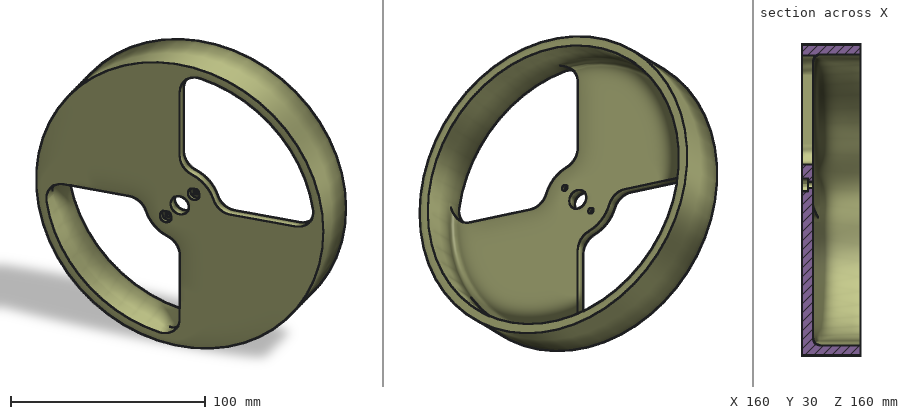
import cadquery as cq
import math

outer_radius = 80.0
rim_thickness = 5.0
inner_radius = outer_radius - rim_thickness
width = 30.0
web_thickness = 5.8
web_fillet = 4.0

hub_radius = 20.0
corner_radius = 10.0

axle_diameter = 10.0
screw_diameter = 3.0
counterbore_diameter = 6.4
counterbore_depth = 3.0
screw_circle_radius = 11.0

overcut = 1.6


def web_plane():
    """Front face of the web: local x is X, local y is Z, and the normal points to -Y."""
    return cq.Workplane("XZ")


def polar(radius, angle):
    return (radius * math.cos(angle), radius * math.sin(angle))


def make_web():
    """Disc whose back carries the concave fillet that leads into the rim."""
    fillet_top = web_thickness + web_fillet
    blank = web_plane().circle(outer_radius).extrude(-fillet_top)
    dish = web_plane().workplane(offset=-web_thickness).circle(inner_radius).extrude(-width)
    return blank.cut(dish.faces("<Y").edges().fillet(web_fillet))


def make_rim():
    rim_start = web_thickness + web_fillet
    ring = web_plane().workplane(offset=-rim_start).circle(outer_radius).circle(inner_radius)
    return ring.extrude(rim_start - width)


def make_window():
    """Quarter ring between hub and rim with rounds tangent to both circles and both spokes."""
    r = corner_radius
    middle = math.radians(45)

    rim_centre = math.sqrt((inner_radius - r) ** 2 - r**2)
    rim_angle = math.asin(r / (inner_radius - r))
    hub_centre = math.sqrt((hub_radius + r) ** 2 - r**2)
    hub_angle = math.asin(r / (hub_radius + r))

    rim_bend = (rim_angle - math.pi / 2) / 2
    hub_bend = (hub_angle + math.pi + 3 * math.pi / 2) / 2
    rim_dx, rim_dy = polar(r, rim_bend)
    hub_dx, hub_dy = polar(r, hub_bend)
    rim_round_middle = (rim_centre + rim_dx, r + rim_dy)
    hub_round_middle = (hub_centre + hub_dx, r + hub_dy)
    rim_tangent = polar(inner_radius, rim_angle)
    hub_tangent = polar(hub_radius, hub_angle)

    def mirrored(point):
        return (point[1], point[0])

    return (
        web_plane()
        .workplane(offset=overcut)
        .moveTo(hub_centre, 0)
        .lineTo(rim_centre, 0)
        .threePointArc(rim_round_middle, rim_tangent)
        .threePointArc(polar(inner_radius, middle), mirrored(rim_tangent))
        .threePointArc(mirrored(rim_round_middle), (0, rim_centre))
        .lineTo(0, hub_centre)
        .threePointArc(mirrored(hub_round_middle), mirrored(hub_tangent))
        .threePointArc(polar(hub_radius, middle), hub_tangent)
        .threePointArc(hub_round_middle, (hub_centre, 0))
        .close()
        .extrude(-(web_thickness + web_fillet + 2 * overcut))
    )


def drill_hub(web):
    screw_places = [polar(screw_circle_radius, math.radians(angle)) for angle in (45, 225)]
    web = web.cut(web_plane().circle(axle_diameter / 2).extrude(-web_thickness))
    screws = web_plane().pushPoints(screw_places).circle(screw_diameter / 2).extrude(-web_thickness)
    counterbores = (
        web_plane().pushPoints(screw_places).circle(counterbore_diameter / 2).extrude(-counterbore_depth)
    )
    return web.cut(screws).cut(counterbores)


web = make_web()
for turn in (0, 180):
    web = web.cut(make_window().rotate((0, 0, 0), (0, 1, 0), turn))
result = drill_hub(web).union(make_rim())